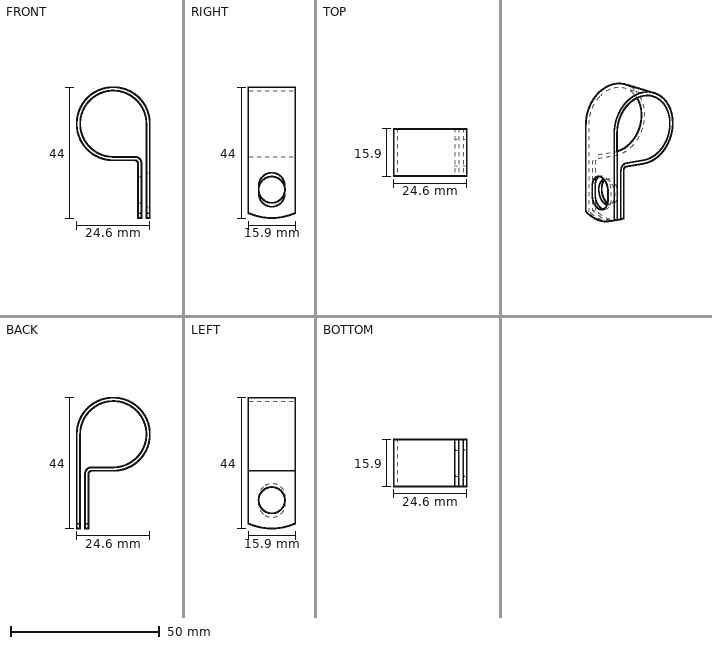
import cadquery as cq
import math

height = 44.0
width = 15.9
thickness = 1.25
outer_radius = 12.32
leg_gap = 1.6
bend_inner_radius = 0.95
hole_diameter = 8.75
hole_height = 9.55
slot_extension = 1.3
tip_rise = 1.7

inner_radius = outer_radius - thickness
bottom = outer_radius - height
short_leg_right = inner_radius - leg_gap
short_leg_left = short_leg_right - thickness
bend_outer_radius = bend_inner_radius + thickness
bend_x = short_leg_left - bend_inner_radius
bend_z = -outer_radius - bend_inner_radius
diagonal = math.sqrt(0.5)


def strap():
    """Bent strip: long leg, three-quarter loop, flat shelf and short leg."""
    profile = (
        cq.Workplane("XZ")
        .moveTo(outer_radius, bottom)
        .lineTo(outer_radius, 0)
        .threePointArc((-outer_radius * diagonal, outer_radius * diagonal), (0, -outer_radius))
        .lineTo(bend_x, -outer_radius)
        .threePointArc(
            (bend_x + bend_inner_radius * diagonal, bend_z + bend_inner_radius * diagonal),
            (short_leg_left, bend_z),
        )
        .lineTo(short_leg_left, bottom)
        .lineTo(short_leg_right, bottom)
        .lineTo(short_leg_right, bend_z)
        .threePointArc(
            (bend_x + bend_outer_radius * diagonal, bend_z + bend_outer_radius * diagonal),
            (bend_x, -inner_radius),
        )
        .lineTo(0, -inner_radius)
        .threePointArc((-inner_radius * diagonal, inner_radius * diagonal), (inner_radius, 0))
        .lineTo(inner_radius, bottom)
        .close()
    )
    return profile.extrude(width / 2, both=True)


def side_envelope():
    """Block spanning the strap in X, with its lower end rounded like the leg tips."""
    half = width / 2
    return (
        cq.Workplane("YZ", origin=(-outer_radius, 0, 0))
        .moveTo(-half, outer_radius)
        .lineTo(-half, bottom + tip_rise)
        .threePointArc((0, bottom), (half, bottom + tip_rise))
        .lineTo(half, outer_radius)
        .close()
        .extrude(2 * outer_radius)
    )


def leg_workplane(x):
    """Plane facing +X at the given X, centred on the bolt axis."""
    return cq.Workplane("YZ", origin=(x, 0, bottom + hole_height))


def round_hole():
    """Round hole through the short leg."""
    return leg_workplane(short_leg_left).circle(hole_diameter / 2).extrude(thickness)


def slotted_hole():
    """Upright slot through the long leg, as wide as the round hole."""
    slot_length = hole_diameter + 2 * slot_extension
    return leg_workplane(inner_radius).slot2D(slot_length, hole_diameter, 90).extrude(thickness)


result = strap().intersect(side_envelope()).cut(round_hole()).cut(slotted_hole())